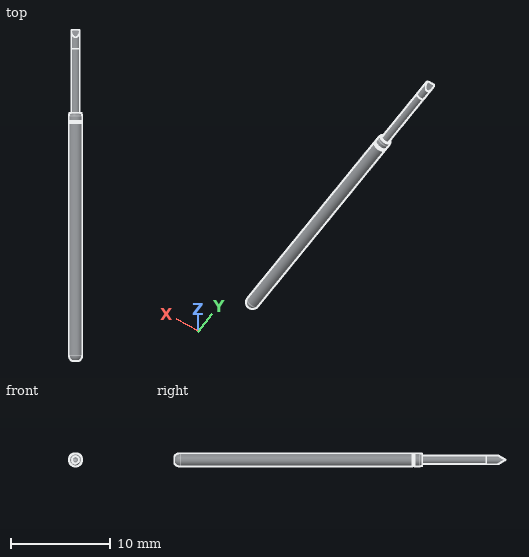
import cadquery as cq
import math

total_length = 33.4
barrel_diameter = 1.37
barrel_radius = barrel_diameter / 2
barrel_length = 25.0

end_flat_radius = 0.35
dome_length = math.sqrt(barrel_radius**2 - end_flat_radius**2)

mouth_length = 0.3
mouth_taper = 0.06
mouth_radius = barrel_radius - mouth_taper
groove_width = 0.25
groove_depth = 0.07
groove_setback = 0.9
groove_centre = barrel_length - groove_setback

stem_radius = 0.44
head_radius = 0.45
head_length = 1.95

tip_half_angle = math.radians(30)
tip_length = head_radius / math.tan(tip_half_angle)
tip_corner = 0.2


def make_barrel():
    """Revolve the barrel profile, including the dome and the mouth taper."""
    dome_angle = (math.asin(end_flat_radius / barrel_radius) + math.pi / 2) / 2
    dome_middle = (
        barrel_radius * math.sin(dome_angle),
        dome_length - barrel_radius * math.cos(dome_angle),
    )
    profile = (
        cq.Workplane("XY")
        .lineTo(end_flat_radius, 0)
        .threePointArc(dome_middle, (barrel_radius, dome_length))
        .lineTo(barrel_radius, barrel_length - mouth_length)
        .lineTo(mouth_radius, barrel_length)
        .lineTo(0, barrel_length)
        .close()
    )
    return profile.revolve(360, (0, 0, 0), (0, 1, 0))


def make_groove():
    """V-section ring that presses the crimp groove into the barrel."""
    half_width = groove_width / 2
    profile = (
        cq.Workplane("XY")
        .moveTo(barrel_radius, groove_centre - half_width)
        .lineTo(barrel_radius - groove_depth, groove_centre)
        .lineTo(barrel_radius, groove_centre + half_width)
        .close()
    )
    return profile.revolve(360, (0, 0, 0), (0, 1, 0))


def make_plunger():
    """Revolve the stepped plunger, running from the barrel mouth to the tip."""
    corner_centre_radius = head_radius - tip_corner
    corner_offset = tip_corner * math.sin(math.pi / 4)
    head_start = total_length - head_length
    profile = (
        cq.Workplane("XY")
        .moveTo(0, barrel_length)
        .lineTo(stem_radius, barrel_length)
        .lineTo(stem_radius, head_start)
        .lineTo(head_radius, head_start)
        .lineTo(head_radius, total_length - tip_corner)
        .threePointArc(
            (corner_centre_radius + corner_offset, total_length - tip_corner + corner_offset),
            (corner_centre_radius, total_length),
        )
        .lineTo(0, total_length)
        .close()
    )
    return profile.revolve(360, (0, 0, 0), (0, 1, 0))


def make_tip_envelope():
    """Pointed slab whose sloping sides leave the chisel edge."""
    shoulder = total_length - tip_length
    return (
        cq.Workplane("YZ")
        .moveTo(barrel_length, -head_radius)
        .lineTo(shoulder, -head_radius)
        .lineTo(total_length, 0)
        .lineTo(shoulder, head_radius)
        .lineTo(barrel_length, head_radius)
        .close()
        .extrude(head_radius, both=True)
    )


barrel = make_barrel().cut(make_groove())
plunger = make_plunger().intersect(make_tip_envelope())
result = barrel.union(plunger)